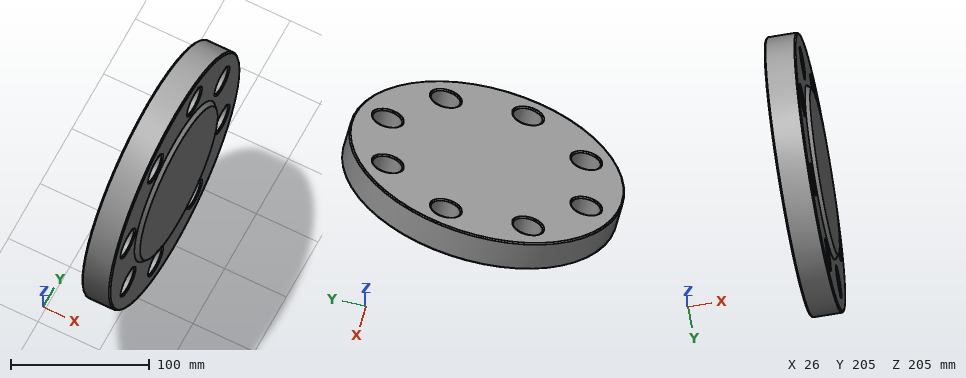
import cadquery as cq

flange_diameter = 205.0
total_thickness = 26.0
raised_height = 3.0
plate_thickness = total_thickness - raised_height
rim_chamfer = 1.0

raised_base_diameter = 128.0
raised_face_diameter = 122.0

bolt_count = 8
bolt_circle_diameter = 160.0
bolt_hole_diameter = 22.0
hole_chamfer = 1.0


def flange_body():
    """Revolve the plate with chamfered rims and the tapered raised face."""
    rim_radius = flange_diameter / 2
    profile = (
        cq.Workplane("XY")
        .moveTo(0, 0)
        .lineTo(0, rim_radius - rim_chamfer)
        .lineTo(rim_chamfer, rim_radius)
        .lineTo(plate_thickness - rim_chamfer, rim_radius)
        .lineTo(plate_thickness, rim_radius - rim_chamfer)
        .lineTo(plate_thickness, raised_base_diameter / 2)
        .lineTo(total_thickness, raised_face_diameter / 2)
        .lineTo(total_thickness, 0)
        .close()
    )
    return profile.revolve(360, (0, 0, 0), (1, 0, 0))


def bolt_hole_cutter():
    """Through hole on the X axis, chamfered at both plate faces."""
    hole_radius = bolt_hole_diameter / 2
    mouth_radius = hole_radius + hole_chamfer
    profile = (
        cq.Workplane("XY")
        .moveTo(0, 0)
        .lineTo(0, mouth_radius)
        .lineTo(hole_chamfer, hole_radius)
        .lineTo(plate_thickness - hole_chamfer, hole_radius)
        .lineTo(plate_thickness, mouth_radius)
        .lineTo(plate_thickness, 0)
        .close()
    )
    return profile.revolve(360, (0, 0, 0), (1, 0, 0))


result = flange_body()

bolt_pitch_angle = 360 / bolt_count
for index in range(bolt_count):
    angle = (index + 0.5) * bolt_pitch_angle
    cutter = bolt_hole_cutter().translate((0, bolt_circle_diameter / 2, 0))
    result = result.cut(cutter.rotate((0, 0, 0), (1, 0, 0), angle))

result = result.translate((-total_thickness / 2, 0, 0))